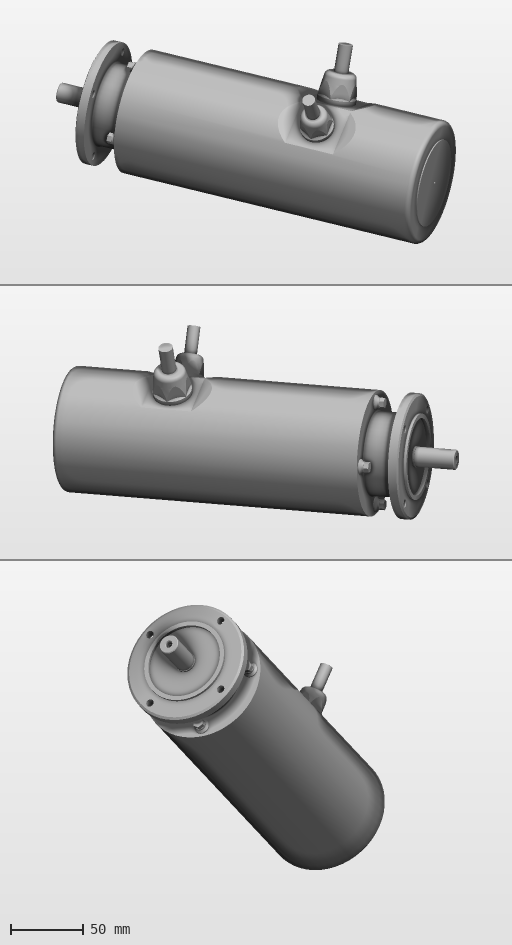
import cadquery as cq
import math


PILOT_FRONT = 27.3
FLANGE_FRONT = 29.2
FLANGE_BACK = 36.2
HOUSING_FRONT = 58.7
HOUSING_BACK = 279.5
REAR_COVER_BACK = 280.5
OVERALL_LENGTH = 281.0

HOUSING_DIAMETER = 88.0
PILOT_DIAMETER = 60.0
PILOT_RECESS_DIAMETER = 54.0
NECK_DIAMETER = 59.0
REAR_COVER_DIAMETER = 61.8
REAR_TIP_DIAMETER = 1.7

FLANGE_CHAMFER_LENGTH = 0.8
FLANGE_CHAMFER_DEPTH = 1.7
NECK_FRONT_FILLET = 1.0
NECK_REAR_FILLET = 0.8
HOUSING_BACK_FILLET = 3.5
PILOT_RECESS_DEPTH = 2.8

SHAFT_DIAMETER = 14.0
SHAFT_CHAMFER = 0.5
SHOULDER_DIAMETER = 15.0
SHOULDER_HEIGHT = 1.5
CENTRE_HOLE_DIAMETER = 3.5
CENTRE_HOLE_DEPTH = 11.2
COUNTERBORE_DIAMETER = 4.5
COUNTERBORE_DEPTH = 4.2
COUNTERSINK_DIAMETER = 5.5
COUNTERSINK_DEPTH = 0.8

FASTENER_COUNT = 4
FLANGE_HOLE_DIAMETER = 5.5
FLANGE_HOLE_CIRCLE_RADIUS = 37.7
FLANGE_HOLE_ANGLE = 45.0
SCREW_CIRCLE_RADIUS = 36.5
SCREW_HEAD_ACROSS_CORNERS = 7.5
SCREW_HEAD_HEIGHT = 3.5
SCREW_COLLAR_DIAMETER = 10.7
SCREW_COLLAR_HEIGHT = 3.7
SCREW_COLLAR_FLARE = 1.5
SCREW_COLLAR_RIM = 0.8

GLAND_X = 200.0
GLAND_TILT = 25.0
LARGE_SEAT_RADIUS = 40.2
SMALL_SEAT_RADIUS = 40.5
SEAT_LENGTH = 36.0
SEAT_LENGTH_AT_SURFACE = 56.2

COLLAR_SHOULDER = 43.5
COLLAR_TOP = 45.0
NUT_TAPER = 10.5
CAP_ROUND_RADIUS = 3.0

HEXAGON_SIDES = 6
HOUSING_RADIUS = HOUSING_DIAMETER / 2


def disc(x_start, x_end, diameter):
    """Cylinder on the motor axis."""
    return cq.Workplane("YZ", origin=(x_start, 0, 0)).circle(diameter / 2).extrude(x_end - x_start)


def cone(x_start, length, start_radius, end_radius):
    """Truncated cone on the motor axis."""
    start = cq.Vector(x_start, 0, 0)
    return cq.Workplane(cq.Solid.makeCone(start_radius, end_radius, length, start, cq.Vector(1, 0, 0)))


def angled_copies(body, first_angle):
    """Copies of a body equally spaced around the motor axis."""
    step = 360 / FASTENER_COUNT
    return [body.rotate((0, 0, 0), (1, 0, 0), first_angle + i * step) for i in range(FASTENER_COUNT)]


def make_flange():
    flange = disc(FLANGE_FRONT + FLANGE_CHAMFER_LENGTH, FLANGE_BACK, HOUSING_DIAMETER)
    front_radius = HOUSING_RADIUS - FLANGE_CHAMFER_DEPTH
    flange = flange.union(cone(FLANGE_FRONT, FLANGE_CHAMFER_LENGTH, front_radius, HOUSING_RADIUS))
    pilot = disc(PILOT_FRONT, FLANGE_FRONT, PILOT_DIAMETER)
    recess = disc(PILOT_FRONT, PILOT_FRONT + PILOT_RECESS_DEPTH, PILOT_RECESS_DIAMETER)
    flange = flange.union(pilot).cut(recess)
    hole = disc(PILOT_FRONT, FLANGE_BACK, FLANGE_HOLE_DIAMETER).translate((0, 0, FLANGE_HOLE_CIRCLE_RADIUS))
    for copy in angled_copies(hole, FLANGE_HOLE_ANGLE):
        flange = flange.cut(copy)
    return flange


def make_neck():
    """Neck between flange and housing, flared by a fillet at both ends."""
    radius = NECK_DIAMETER / 2
    front, rear = NECK_FRONT_FILLET, NECK_REAR_FILLET
    return (
        cq.Workplane("XY")
        .moveTo(FLANGE_BACK, 0)
        .lineTo(FLANGE_BACK, radius + front)
        .radiusArc((FLANGE_BACK + front, radius), -front)
        .lineTo(HOUSING_FRONT - rear, radius)
        .radiusArc((HOUSING_FRONT, radius + rear), -rear)
        .lineTo(HOUSING_FRONT, 0)
        .close()
        .revolve(360, (0, 0, 0), (1, 0, 0))
    )


def make_housing():
    housing = disc(HOUSING_FRONT, HOUSING_BACK, HOUSING_DIAMETER).faces(">X").edges().fillet(HOUSING_BACK_FILLET)
    rear_cover = disc(HOUSING_BACK, REAR_COVER_BACK, REAR_COVER_DIAMETER)
    rear_tip = disc(REAR_COVER_BACK, OVERALL_LENGTH, REAR_TIP_DIAMETER)
    return housing.union(rear_cover).union(rear_tip)


def make_shaft():
    recess_floor = PILOT_FRONT + PILOT_RECESS_DEPTH
    shaft = disc(0, recess_floor, SHAFT_DIAMETER).faces("<X").chamfer(SHAFT_CHAMFER)
    shoulder = disc(recess_floor - SHOULDER_HEIGHT, recess_floor, SHOULDER_DIAMETER)
    centre_hole = disc(0, CENTRE_HOLE_DEPTH, CENTRE_HOLE_DIAMETER)
    counterbore = disc(0, COUNTERBORE_DEPTH, COUNTERBORE_DIAMETER)
    countersink = cone(0, COUNTERSINK_DEPTH, COUNTERSINK_DIAMETER / 2, COUNTERBORE_DIAMETER / 2)
    return shaft.union(shoulder).cut(centre_hole).cut(counterbore).cut(countersink)


def make_screw():
    """Hexagon screw with a collar, placed above the motor axis with one corner pointing outwards."""
    collar_front = HOUSING_FRONT - SCREW_COLLAR_HEIGHT
    rim_front = HOUSING_FRONT - SCREW_COLLAR_RIM
    flare_front = rim_front - SCREW_COLLAR_FLARE
    head_radius = SCREW_HEAD_ACROSS_CORNERS / 2
    rim_radius = SCREW_COLLAR_DIAMETER / 2
    shank = disc(collar_front, HOUSING_FRONT, SCREW_HEAD_ACROSS_CORNERS)
    flare = cone(flare_front, SCREW_COLLAR_FLARE, head_radius, rim_radius)
    rim = disc(rim_front, HOUSING_FRONT, SCREW_COLLAR_DIAMETER)
    head = (
        cq.Workplane("YZ", origin=(collar_front - SCREW_HEAD_HEIGHT, 0, 0))
        .polygon(HEXAGON_SIDES, SCREW_HEAD_ACROSS_CORNERS)
        .extrude(SCREW_HEAD_HEIGHT)
        .rotate((0, 0, 0), (1, 0, 0), 90)
    )
    return shank.union(flare).union(rim).union(head).translate((0, 0, SCREW_CIRCLE_RADIUS))


def tilted(body, angle):
    """Move a body built upright on the Z axis to its gland position on the motor."""
    return body.rotate((0, 0, 0), (1, 0, 0), angle).translate((GLAND_X, 0, 0))


def make_seat_cutter(seat_radius):
    """Flat seat with a sloped run-out at both ends along X."""
    half_floor = SEAT_LENGTH / 2
    half_top = SEAT_LENGTH_AT_SURFACE / 2
    return (
        cq.Workplane("XZ")
        .moveTo(-half_floor, seat_radius)
        .lineTo(half_floor, seat_radius)
        .lineTo(half_top, HOUSING_RADIUS)
        .lineTo(-half_top, HOUSING_RADIUS)
        .close()
        .extrude(HOUSING_RADIUS, both=True)
    )


def make_motor():
    motor = make_housing().union(make_neck()).union(make_flange()).union(make_shaft())
    for screw in angled_copies(make_screw(), 0):
        motor = motor.union(screw)
    motor = motor.cut(tilted(make_seat_cutter(LARGE_SEAT_RADIUS), -GLAND_TILT))
    motor = motor.cut(tilted(make_seat_cutter(SMALL_SEAT_RADIUS), GLAND_TILT))
    return motor


def make_gland(
    seat_radius, across_flats, collar_diameter, cap_face_diameter, cap_top, cable_diameter, cable_end
):
    """Gland with its cable, upright on the Z axis; the nut is a tapered blank cut to a hexagon."""
    across_corners = across_flats / math.cos(math.pi / HEXAGON_SIDES)
    corner_radius = across_corners / 2
    flat_radius = across_flats / 2
    collar_radius = collar_diameter / 2
    cap_face_radius = cap_face_diameter / 2
    round_start = cap_top - CAP_ROUND_RADIUS
    round_start_radius = corner_radius - (round_start - COLLAR_TOP) * math.tan(math.radians(NUT_TAPER))
    arc_part = math.sqrt(0.5)
    arc_middle = (
        cap_face_radius + (round_start_radius - cap_face_radius) * arc_part,
        round_start + CAP_ROUND_RADIUS * arc_part,
    )

    turned_blank = (
        cq.Workplane("XZ")
        .moveTo(0, COLLAR_SHOULDER)
        .lineTo(corner_radius, COLLAR_SHOULDER)
        .lineTo(corner_radius, COLLAR_TOP)
        .lineTo(round_start_radius, round_start)
        .threePointArc(arc_middle, (cap_face_radius, cap_top))
        .lineTo(0, cap_top)
        .close()
        .revolve(360, (0, 0, 0), (0, 1, 0))
    )
    hexagon = (
        cq.Workplane("XY", origin=(0, 0, COLLAR_SHOULDER))
        .polygon(HEXAGON_SIDES, across_corners)
        .extrude(cap_top - COLLAR_SHOULDER)
        .rotate((0, 0, 0), (0, 0, 1), 90)
    )
    nut = turned_blank.intersect(hexagon)
    collar = (
        cq.Workplane("XZ")
        .moveTo(0, seat_radius)
        .lineTo(collar_radius, seat_radius)
        .lineTo(collar_radius, COLLAR_SHOULDER)
        .lineTo(flat_radius, COLLAR_TOP)
        .lineTo(0, COLLAR_TOP)
        .close()
        .revolve(360, (0, 0, 0), (0, 1, 0))
    )
    cable = (
        cq.Workplane("XY", origin=(0, 0, cap_top))
        .circle(cable_diameter / 2)
        .extrude(cable_end - cap_top)
    )
    return nut.union(collar).union(cable)


motor = make_motor()

large_gland = tilted(
    make_gland(
        seat_radius=LARGE_SEAT_RADIUS,
        across_flats=24.0,
        collar_diameter=27.5,
        cap_face_diameter=15.0,
        cap_top=61.3,
        cable_diameter=10.0,
        cable_end=81.2,
    ),
    -GLAND_TILT,
)
small_gland = tilted(
    make_gland(
        seat_radius=SMALL_SEAT_RADIUS,
        across_flats=20.0,
        collar_diameter=24.0,
        cap_face_diameter=10.7,
        cap_top=58.7,
        cable_diameter=9.0,
        cable_end=78.5,
    ),
    GLAND_TILT,
)

result = cq.Compound.makeCompound([motor.val(), large_gland.val(), small_gland.val()])